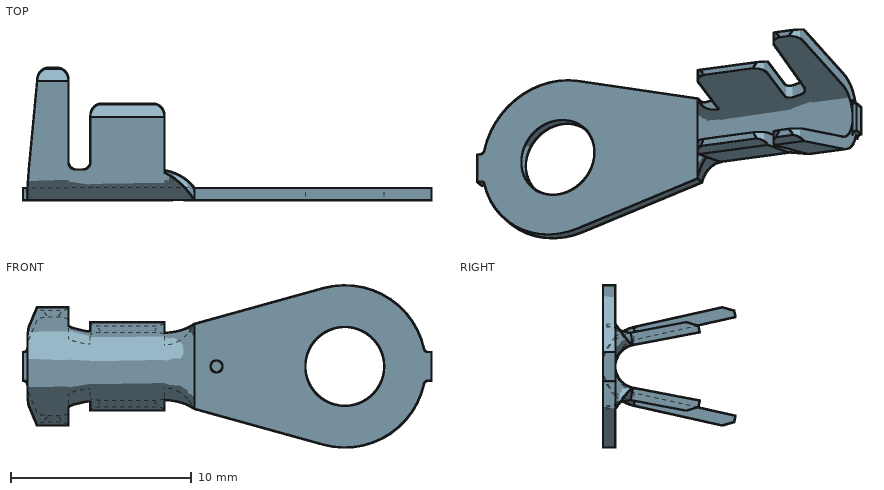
import cadquery as cq
import math


TOTAL_LENGTH = 22.67

SHEET = 0.70
RING_RADIUS = 4.505
HOLE_RADIUS = 2.18
TONGUE_START = -8.34
TONGUE_START_HALF_WIDTH = 2.36
DIMPLE_X = -7.11
DIMPLE_RADIUS = 0.33
DIMPLE_DEPTH = 0.05

TAB_HALF_WIDTH = 0.80
TAB_FILLET = 0.22
FRONT_TAB_END = -17.85
RING_TAB_END = FRONT_TAB_END + TOTAL_LENGTH

INSULATION_START = -17.60
INSULATION_END = -15.31
CONDUCTOR_START = -14.11
CONDUCTOR_END = -9.99

INSULATION_RADIUS = 2.25
INSULATION_LEAN = 12.6
INSULATION_TOP = 7.37
INSULATION_BEND_START = -17.52
INSULATION_TIP_START = -16.99

CONDUCTOR_RADIUS = 1.90
CONDUCTOR_LEAN = 10.8
CONDUCTOR_TOP = 5.38

TIP_LENGTH = 0.75
TIP_BEVEL = 0.33
TIP_CORNER_RADIUS = 0.70

OPENING_X = -9.40
OPENING_RADIUS = 2.17
OPENING_LEAN = 27.0

SLOT_FLOOR = 1.72
SLOT_FILLET = 0.40
NECK_TOP = 2.40

WIDE = 10.0


def bend_point(radius, bend_radius, lean):
    """Y, Z of the end of the bend on the +Z side, at the given radius from the bend centre."""
    angle = math.radians(lean)
    return bend_radius - radius * math.sin(angle), radius * math.cos(angle)


def leg_point(radius, bend_radius, lean, height):
    """Y, Z on the straight leg face that continues the bend, at the given Y height."""
    bend_y, bend_z = bend_point(radius, bend_radius, lean)
    return height, bend_z + (height - bend_y) * math.tan(math.radians(lean))


def mirrored(point):
    return point[0], -point[1]


def channel_section(x, bend_radius, lean, top, tip_length=0.0, tip_bevel=0.0):
    """Closed U section across X: a half-round bottom with two leaning legs.

    A tip length above zero bevels the outer face of each leg tip.
    """
    inner_radius = bend_radius - SHEET
    outer_bend = bend_point(bend_radius, bend_radius, lean)
    inner_bend = bend_point(inner_radius, bend_radius, lean)
    outer_leg = leg_point(bend_radius, bend_radius, lean, top - tip_length)
    tip_drop = (SHEET - tip_bevel) * math.sin(math.radians(lean))
    outer_tip = leg_point(bend_radius - tip_bevel, bend_radius, lean, top - tip_drop)
    inner_tip = leg_point(inner_radius, bend_radius, lean, top)

    section = cq.Workplane("YZ", origin=(x, 0, 0)).moveTo(*outer_leg).lineTo(*outer_bend)
    section = section.threePointArc((0, 0), mirrored(outer_bend)).lineTo(*mirrored(outer_leg))
    if tip_length > 0:
        section = section.lineTo(*mirrored(outer_tip))
    section = section.lineTo(*mirrored(inner_tip)).lineTo(*mirrored(inner_bend))
    section = section.threePointArc((SHEET, 0), inner_bend).lineTo(*inner_tip)
    if tip_length > 0:
        section = section.lineTo(*outer_tip)
    return section.close()


def barrel(start, end, bend_radius, lean, top, side_points):
    """Crimp barrel trimmed to its side outline, with rounded leg tip corners."""
    channel = channel_section(start, bend_radius, lean, top, TIP_LENGTH, TIP_BEVEL).extrude(end - start)
    side = cq.Workplane("XY").polyline(side_points).close().extrude(WIDE, both=True)
    top_corners = cq.selectors.BoxSelector(
        (start - SHEET, top - SHEET, -SHEET),
        (end + SHEET, top + SHEET, SHEET),
    )
    return channel.intersect(side.edges("|Z").edges(top_corners).fillet(TIP_CORNER_RADIUS))


def insulation_barrel():
    bend_height, _ = bend_point(INSULATION_RADIUS, INSULATION_RADIUS, INSULATION_LEAN)
    side_points = [
        (INSULATION_START, 0),
        (INSULATION_END, 0),
        (INSULATION_END, INSULATION_TOP),
        (INSULATION_TIP_START, INSULATION_TOP),
        (INSULATION_BEND_START, bend_height),
        (INSULATION_START, SHEET),
    ]
    return barrel(
        INSULATION_START, INSULATION_END, INSULATION_RADIUS, INSULATION_LEAN, INSULATION_TOP, side_points
    )


def conductor_barrel():
    side_points = [
        (CONDUCTOR_START, 0),
        (CONDUCTOR_END, 0),
        (CONDUCTOR_END, CONDUCTOR_TOP),
        (CONDUCTOR_START, CONDUCTOR_TOP),
    ]
    return barrel(
        CONDUCTOR_START, CONDUCTOR_END, CONDUCTOR_RADIUS, CONDUCTOR_LEAN, CONDUCTOR_TOP, side_points
    )


def loft_through(sections, ruled):
    wires = [section.wires().val() for section in sections]
    return cq.Workplane(cq.Solid.makeLoft(wires, ruled))


def neck():
    """Tapered channel joining the barrels, cut down by the round-cornered slot between the legs."""
    sections = [
        channel_section(INSULATION_END, INSULATION_RADIUS, INSULATION_LEAN, NECK_TOP),
        channel_section(CONDUCTOR_START, CONDUCTOR_RADIUS, CONDUCTOR_LEAN, NECK_TOP),
    ]
    slot = (
        cq.Workplane("XY")
        .moveTo(INSULATION_END, SLOT_FLOOR)
        .lineTo(CONDUCTOR_START, SLOT_FLOOR)
        .lineTo(CONDUCTOR_START, NECK_TOP + SHEET)
        .lineTo(INSULATION_END, NECK_TOP + SHEET)
        .close()
        .extrude(WIDE, both=True)
        .edges("|Z and <Y")
        .fillet(SLOT_FILLET)
    )
    return loft_through(sections, ruled=True).cut(slot)


def trough_section(x, bend_radius, lean):
    """Closed curved section across X: the bend of a channel without its legs."""
    outer_bend = bend_point(bend_radius, bend_radius, lean)
    inner_bend = bend_point(bend_radius - SHEET, bend_radius, lean)
    return (
        cq.Workplane("YZ", origin=(x, 0, 0))
        .moveTo(*outer_bend)
        .threePointArc((0, 0), mirrored(outer_bend))
        .lineTo(*mirrored(inner_bend))
        .threePointArc((SHEET, 0), inner_bend)
        .close()
    )


def transition():
    """Channel opening out from the conductor barrel bend to the flat tongue."""
    curved = trough_section(CONDUCTOR_END, CONDUCTOR_RADIUS, CONDUCTOR_LEAN)
    opening = trough_section(OPENING_X, OPENING_RADIUS, OPENING_LEAN)
    flat = (
        cq.Workplane("YZ", origin=(TONGUE_START, 0, 0))
        .moveTo(0, TONGUE_START_HALF_WIDTH)
        .lineTo(0, -TONGUE_START_HALF_WIDTH)
        .lineTo(SHEET, -TONGUE_START_HALF_WIDTH)
        .lineTo(SHEET, TONGUE_START_HALF_WIDTH)
        .close()
    )
    return loft_through([curved, opening, flat], ruled=False)


def sheet_sketch():
    """Sketch plane on the inner sheet face; its X, Y are the part X, Z and it extrudes to Y = 0."""
    return cq.Workplane("XZ", origin=(0, SHEET, 0))


def tongue():
    """Flat tongue with straight sides tangent to the ring, its carrier tab, stud hole and dimple."""
    corner_distance = math.hypot(TONGUE_START, TONGUE_START_HALF_WIDTH)
    corner_angle = math.atan2(TONGUE_START_HALF_WIDTH, TONGUE_START)
    tangent_angle = corner_angle - math.acos(RING_RADIUS / corner_distance)
    tangent_x = RING_RADIUS * math.cos(tangent_angle)
    tangent_z = RING_RADIUS * math.sin(tangent_angle)
    plate = (
        sheet_sketch()
        .moveTo(TONGUE_START, -TONGUE_START_HALF_WIDTH)
        .lineTo(tangent_x, -tangent_z)
        .threePointArc((RING_RADIUS, 0), (tangent_x, tangent_z))
        .lineTo(TONGUE_START, TONGUE_START_HALF_WIDTH)
        .close()
        .extrude(SHEET)
    )
    tab = (
        sheet_sketch()
        .center((HOLE_RADIUS + RING_TAB_END) / 2, 0)
        .rect(RING_TAB_END - HOLE_RADIUS, 2 * TAB_HALF_WIDTH)
        .extrude(SHEET)
    )
    root_x = math.sqrt(RING_RADIUS**2 - TAB_HALF_WIDTH**2)
    tab_roots = cq.selectors.BoxSelector(
        (root_x - TAB_FILLET, -SHEET, -2 * TAB_HALF_WIDTH),
        (root_x + TAB_FILLET, 2 * SHEET, 2 * TAB_HALF_WIDTH),
    )
    plate = plate.union(tab).edges("|Y").edges(tab_roots).fillet(TAB_FILLET)

    stud_hole = sheet_sketch().circle(HOLE_RADIUS).extrude(SHEET)
    dimple = (
        cq.Workplane("XZ", origin=(DIMPLE_X, DIMPLE_DEPTH, 0)).circle(DIMPLE_RADIUS).extrude(DIMPLE_DEPTH)
    )
    return plate.cut(stud_hole).cut(dimple)


def front_tab():
    """Carrier tab ahead of the insulation barrel, flared where it meets the barrel."""
    flare_start = INSULATION_START - TAB_FILLET
    flare_half_width = TAB_HALF_WIDTH + TAB_FILLET
    return (
        sheet_sketch()
        .moveTo(FRONT_TAB_END, -TAB_HALF_WIDTH)
        .lineTo(flare_start, -TAB_HALF_WIDTH)
        .radiusArc((INSULATION_START, -flare_half_width), TAB_FILLET)
        .lineTo(INSULATION_START, flare_half_width)
        .radiusArc((flare_start, TAB_HALF_WIDTH), TAB_FILLET)
        .lineTo(FRONT_TAB_END, TAB_HALF_WIDTH)
        .close()
        .extrude(SHEET)
    )


result = (
    insulation_barrel()
    .union(neck())
    .union(conductor_barrel())
    .union(transition())
    .union(tongue())
    .union(front_tab())
)